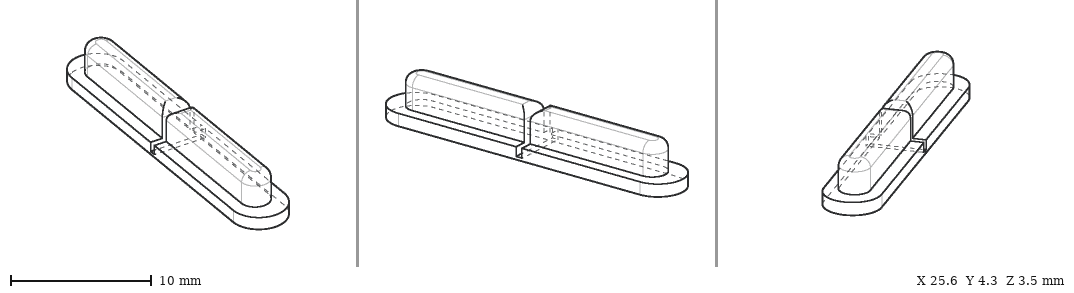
import cadquery as cq

base_length = 25.6
base_width = 4.3
base_height = 1.0

total_height = 3.5
rib_length = 22.6
rib_width = 2.3
rib_edge_radius = 0.75

slot_width = 0.5
web_height = 0.25

rib_height = total_height - base_height


def make_base():
    return cq.Workplane("XY").slot2D(base_length, base_width).extrude(base_height)


def make_slot():
    return (
        cq.Workplane("XY")
        .workplane(offset=web_height)
        .rect(slot_width, base_width)
        .extrude(total_height - web_height)
    )


def make_rib(slot):
    """Both rib halves, with the top edges rounded, including those at the slot."""
    return (
        cq.Workplane("XY")
        .workplane(offset=base_height)
        .slot2D(rib_length, rib_width)
        .extrude(rib_height)
        .cut(slot)
        .faces(">Z")
        .edges()
        .fillet(rib_edge_radius)
    )


slot = make_slot()
result = make_base().cut(slot).union(make_rib(slot))